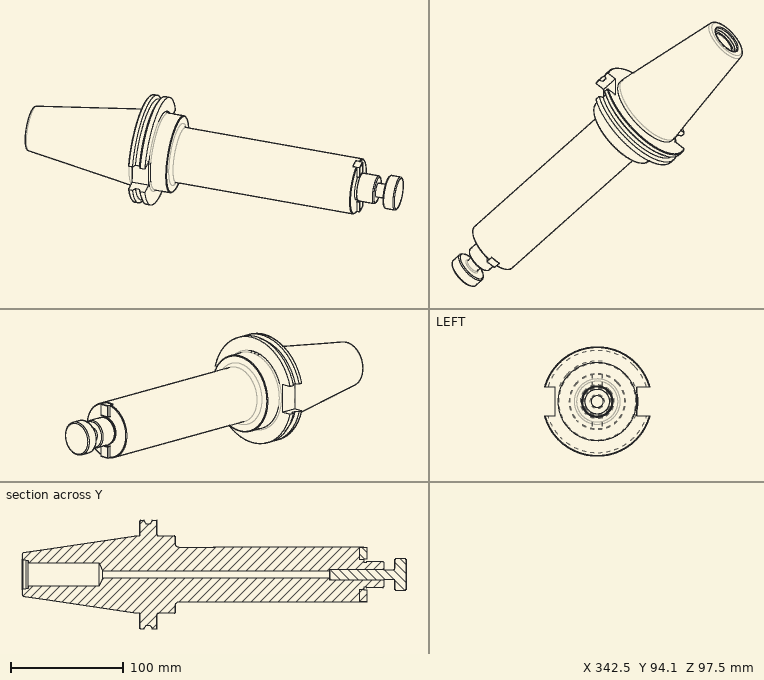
import cadquery as cq
import math

TOTAL_LENGTH = 342.5

TAPER_LENGTH = 101.8
TAPER_LARGE_DIAMETER = 70.0
TAPER_RATIO = 7 / 24
TAPER_END_FILLET = 2.0
FLANGE_FRONT_X = 105.0
FLANGE_REAR_X = 120.3
FLANGE_DIAMETER = 97.5
FLANGE_CHAMFER = 0.7
FLANGE_FILLET = 1.5
COLLAR_DIAMETER = TAPER_LARGE_DIAMETER
COLLAR_END_X = 136.7
COLLAR_CHAMFER = 0.7

GROOVE_CENTER_X = 112.5
GROOVE_WIDTH = 7.2
GROOVE_DEPTH = 3.0
GROOVE_FLANK_ANGLE = 30

SLOT_WIDTH = 25.7
SLOT_FLOOR_PLUS_Y = 37.7
SLOT_FLOOR_MINUS_Y = 35.3

SHAFT_DIAMETER = 50.0
SHAFT_END_X = 305.0
SHAFT_CHAMFER = 0.7
SHAFT_FILLET = 3.0
PILOT_DIAMETER = 25.5
PILOT_END_X = 322.7
PILOT_CHAMFER = 1.0
UNDERCUT_DIAMETER = 24.0
UNDERCUT_LENGTH = 2.0

ENTRY_DIAMETER = 28.0
ENTRY_CONE_LENGTH = 1.0
COUNTERBORE_DIAMETER = 26.7
COUNTERBORE_DEPTH = 3.5
BORE_SEAT_DIAMETER = 26.0
BORE_SEAT_DEPTH = 5.5
BORE_DIAMETER = 22.0
BORE_DEPTH = 68.5
BORE_CONE_ANGLE = 60
CORE_DIAMETER = 10.5

KEY_WIDTH = 9.3
KEY_START_X = 301.0
KEY_END_X = 307.7
KEY_CHAMFER = 0.5
KEY_INNER_Z = 13.7
KEY_OUTER_Z = 24.3

SHANK_DIAMETER = 12.7
SHANK_START_X = 274.0
HEAD_DIAMETER = 30.0
HEAD_START_X = 332.0
HEAD_CHAMFER = 1.0
HEAD_FILLET = 1.0


def cylinder_x(diameter, start_x, end_x):
    """Cylinder on the X axis between two stations."""
    return cq.Workplane("YZ", origin=(start_x, 0, 0)).circle(diameter / 2).extrude(end_x - start_x)


def revolve_x(profile):
    """Solid of revolution about the X axis from (x, radius) points."""
    return cq.Workplane("XY").polyline(profile).close().revolve(360, (0, 0, 0), (1, 0, 0))


def box_between(low, high):
    """Box between two opposite corners."""
    size = [b - a for a, b in zip(low, high)]
    return cq.Workplane("XY").box(*size, centered=False).translate(low)


def holder_blank():
    """Taper, flange, collar, shaft and pilot as one turned profile."""
    large_radius = TAPER_LARGE_DIAMETER / 2
    small_radius = large_radius - TAPER_LENGTH * TAPER_RATIO / 2
    flange_radius = FLANGE_DIAMETER / 2
    collar_radius = COLLAR_DIAMETER / 2
    shaft_radius = SHAFT_DIAMETER / 2
    pilot_radius = PILOT_DIAMETER / 2
    undercut_radius = UNDERCUT_DIAMETER / 2
    fillet_rise = SHAFT_FILLET * (1 - math.sqrt(0.5))
    flange_fillet_rise = FLANGE_FILLET * (1 - math.sqrt(0.5))
    profile = (
        cq.Workplane("XY")
        .moveTo(0, 0)
        .lineTo(0, small_radius)
        .lineTo(TAPER_LENGTH, large_radius)
        .lineTo(FLANGE_FRONT_X, large_radius)
        .lineTo(FLANGE_FRONT_X, flange_radius - FLANGE_CHAMFER)
        .lineTo(FLANGE_FRONT_X + FLANGE_CHAMFER, flange_radius)
        .lineTo(FLANGE_REAR_X, flange_radius)
        .lineTo(FLANGE_REAR_X, collar_radius + FLANGE_FILLET)
        .threePointArc(
            (FLANGE_REAR_X + flange_fillet_rise, collar_radius + flange_fillet_rise),
            (FLANGE_REAR_X + FLANGE_FILLET, collar_radius),
        )
        .lineTo(COLLAR_END_X - COLLAR_CHAMFER, collar_radius)
        .lineTo(COLLAR_END_X, collar_radius - COLLAR_CHAMFER)
        .lineTo(COLLAR_END_X, shaft_radius + SHAFT_FILLET)
        .threePointArc(
            (COLLAR_END_X + fillet_rise, shaft_radius + fillet_rise),
            (COLLAR_END_X + SHAFT_FILLET, shaft_radius),
        )
        .lineTo(SHAFT_END_X - SHAFT_CHAMFER, shaft_radius)
        .lineTo(SHAFT_END_X, shaft_radius - SHAFT_CHAMFER)
        .lineTo(SHAFT_END_X, undercut_radius)
        .lineTo(SHAFT_END_X + UNDERCUT_LENGTH, undercut_radius)
        .lineTo(SHAFT_END_X + UNDERCUT_LENGTH, pilot_radius)
        .lineTo(PILOT_END_X - PILOT_CHAMFER, pilot_radius)
        .lineTo(PILOT_END_X, pilot_radius - PILOT_CHAMFER)
        .lineTo(PILOT_END_X, 0)
        .close()
    )
    blank = profile.revolve(360, (0, 0, 0), (1, 0, 0))
    return blank.faces("<X").edges().fillet(TAPER_END_FILLET)


def gripper_groove():
    """Ring with sloping flanks, cut from the rim of the flange."""
    rim_radius = FLANGE_DIAMETER / 2
    floor_radius = rim_radius - GROOVE_DEPTH
    half_width = GROOVE_WIDTH / 2
    half_floor = half_width - GROOVE_DEPTH * math.tan(math.radians(GROOVE_FLANK_ANGLE))
    return revolve_x([
        (GROOVE_CENTER_X - half_width, rim_radius),
        (GROOVE_CENTER_X - half_floor, floor_radius),
        (GROOVE_CENTER_X + half_floor, floor_radius),
        (GROOVE_CENTER_X + half_width, rim_radius),
    ])


def flange_slot(side, floor_distance):
    """Drive slot through the flange on the +Y (side = 1) or -Y (side = -1) side."""
    rim_radius = FLANGE_DIAMETER / 2
    near_y, far_y = sorted([side * floor_distance, side * rim_radius])
    return box_between(
        (FLANGE_FRONT_X, near_y, -SLOT_WIDTH / 2),
        (FLANGE_REAR_X, far_y, SLOT_WIDTH / 2),
    )


def end_bore():
    """Stepped bore in the small end, closing through a cone to the core hole."""
    entry_radius = ENTRY_DIAMETER / 2
    counterbore_radius = COUNTERBORE_DIAMETER / 2
    seat_radius = BORE_SEAT_DIAMETER / 2
    bore_radius = BORE_DIAMETER / 2
    core_radius = CORE_DIAMETER / 2
    cone_length = (bore_radius - core_radius) / math.tan(math.radians(BORE_CONE_ANGLE))
    return revolve_x([
        (0, 0),
        (0, entry_radius),
        (ENTRY_CONE_LENGTH, counterbore_radius),
        (COUNTERBORE_DEPTH, counterbore_radius),
        (COUNTERBORE_DEPTH, seat_radius),
        (BORE_SEAT_DEPTH, seat_radius),
        (BORE_SEAT_DEPTH, bore_radius),
        (BORE_DEPTH, bore_radius),
        (BORE_DEPTH + cone_length, core_radius),
        (SHANK_START_X, core_radius),
        (SHANK_START_X, 0),
    ])


def drive_key(side):
    """Key with a chamfered end on the +Z (side = 1) or -Z (side = -1) side of the shaft end."""
    low_z, high_z = sorted([side * KEY_INNER_Z, side * KEY_OUTER_Z])
    key = box_between(
        (KEY_START_X, -KEY_WIDTH / 2, low_z),
        (KEY_END_X, KEY_WIDTH / 2, high_z),
    )
    return key.faces(">X").edges().chamfer(KEY_CHAMFER)


def key_seat(side):
    """Pocket that the key fills, open to the outside of the shaft."""
    low_z, high_z = sorted([side * KEY_INNER_Z, side * SHAFT_DIAMETER / 2])
    return box_between(
        (KEY_START_X, -KEY_WIDTH / 2, low_z),
        (KEY_END_X, KEY_WIDTH / 2, high_z),
    )


def make_holder():
    holder = holder_blank().cut(gripper_groove()).cut(end_bore())
    holder = holder.cut(flange_slot(1, SLOT_FLOOR_PLUS_Y)).cut(flange_slot(-1, SLOT_FLOOR_MINUS_Y))
    for side in (1, -1):
        holder = holder.cut(key_seat(side))
    return holder.cut(cylinder_x(SHANK_DIAMETER, SHANK_START_X, PILOT_END_X))


def make_screw():
    """Plain shank with a fillet under a head that is chamfered on both rims."""
    shank_radius = SHANK_DIAMETER / 2
    head_radius = HEAD_DIAMETER / 2
    fillet_rise = HEAD_FILLET * (1 - math.sqrt(0.5))
    profile = (
        cq.Workplane("XY")
        .moveTo(SHANK_START_X, 0)
        .lineTo(SHANK_START_X, shank_radius)
        .lineTo(HEAD_START_X - HEAD_FILLET, shank_radius)
        .threePointArc(
            (HEAD_START_X - fillet_rise, shank_radius + fillet_rise),
            (HEAD_START_X, shank_radius + HEAD_FILLET),
        )
        .lineTo(HEAD_START_X, head_radius - HEAD_CHAMFER)
        .lineTo(HEAD_START_X + HEAD_CHAMFER, head_radius)
        .lineTo(TOTAL_LENGTH - HEAD_CHAMFER, head_radius)
        .lineTo(TOTAL_LENGTH, head_radius - HEAD_CHAMFER)
        .lineTo(TOTAL_LENGTH, 0)
        .close()
    )
    return profile.revolve(360, (0, 0, 0), (1, 0, 0))


holder = make_holder()
keys = [drive_key(side) for side in (1, -1)]
screw = make_screw()

result = cq.Compound.makeCompound([holder.val(), *[key.val() for key in keys], screw.val()])